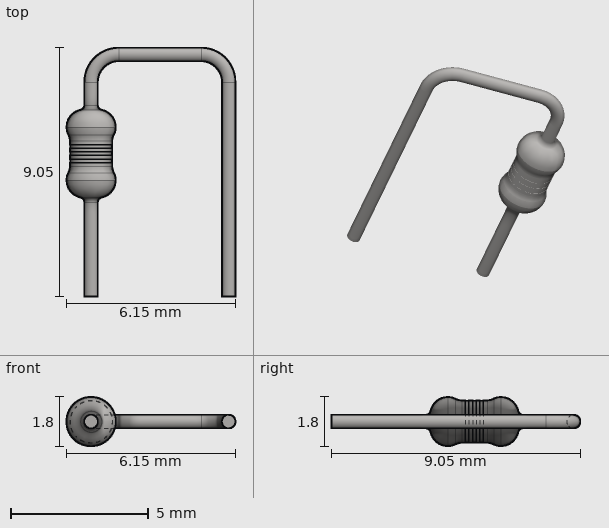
import cadquery as cq
import math

total_length = 9.05
total_width = 6.15
wire_radius = 0.5 / 2
bend_radius = 1.005

body_centre_y = 5.195
bulge_radius = 1.8 / 2
band_radius = 1.55 / 2
groove_radius = 1.53 / 2
bulge_offset = 0.96
bulge_curve = 0.65
rim_curve = 0.55
neck_offset = 1.765
band_count = 4
banded_length = 0.92
band_width = banded_length / (2 * band_count - 1)

lead_spacing = total_width - bulge_radius - wire_radius
back_y = total_length - wire_radius


def make_wire():
    bend_start_y = back_y - bend_radius
    right_bend_x = lead_spacing - bend_radius
    arc_step = bend_radius * math.sqrt(0.5)
    path = (
        cq.Workplane("XY")
        .lineTo(0, bend_start_y)
        .threePointArc((bend_radius - arc_step, bend_start_y + arc_step), (bend_radius, back_y))
        .lineTo(right_bend_x, back_y)
        .threePointArc((right_bend_x + arc_step, bend_start_y + arc_step), (lead_spacing, bend_start_y))
        .lineTo(lead_spacing, 0)
    )
    return cq.Workplane("XZ").circle(wire_radius).sweep(path)


def arc_point(centre, radius, angle):
    return (centre[0] + radius * math.cos(angle), centre[1] + radius * math.sin(angle))


def make_half_body():
    """Half of the body from its middle towards +Y."""
    band_zone_end = banded_length / 2
    bulge_centre = (bulge_radius - bulge_curve, bulge_offset)
    rim_centre = (bulge_radius - rim_curve, bulge_offset)

    centre_gap = wire_radius - bulge_centre[0]
    rise = neck_offset - bulge_offset
    neck_curve = (centre_gap**2 + rise**2 - bulge_curve**2) / (2 * (bulge_curve - centre_gap))
    neck_centre = (wire_radius + neck_curve, neck_offset)
    neck_angle = math.atan2(rise, neck_centre[0] - bulge_centre[0])

    waist_rise = bulge_offset - band_zone_end
    radius_step = bulge_radius - band_radius
    curve_sum = (waist_rise**2 + radius_step**2) / (2 * radius_step)
    waist_curve = curve_sum - rim_curve
    waist_centre = (band_radius + waist_curve, band_zone_end)
    waist_angle = -math.asin(waist_rise / curve_sum)

    profile = cq.Workplane("XY")
    step_radius = groove_radius
    step_start = 0
    for index in range(band_count):
        profile = profile.lineTo(step_radius, step_start)
        step_start = (index + 0.5) * band_width
        profile = profile.lineTo(step_radius, step_start)
        step_radius = groove_radius + band_radius - step_radius

    profile = (
        profile
        .threePointArc(
            arc_point(waist_centre, waist_curve, math.pi + waist_angle / 2),
            arc_point(rim_centre, rim_curve, waist_angle),
        )
        .threePointArc(
            arc_point(rim_centre, rim_curve, waist_angle / 2),
            (bulge_radius, bulge_offset),
        )
        .threePointArc(
            arc_point(bulge_centre, bulge_curve, neck_angle / 2),
            arc_point(bulge_centre, bulge_curve, neck_angle),
        )
        .threePointArc(
            arc_point(neck_centre, neck_curve, math.pi + neck_angle / 2),
            (wire_radius, neck_offset),
        )
        .lineTo(0, neck_offset)
        .close()
    )
    return profile.revolve(360, (0, 0, 0), (0, 1, 0))


def make_body():
    half = make_half_body()
    body = half.union(half.mirror("XZ"))
    return body.translate((0, body_centre_y, 0))


result = make_wire().union(make_body())